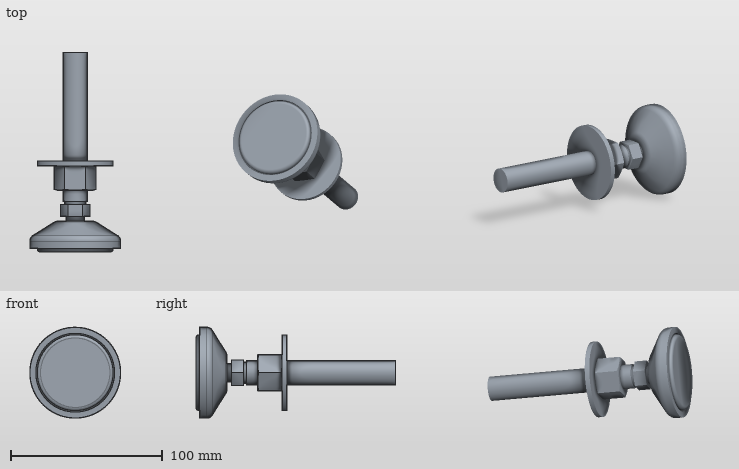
import cadquery as cq
import math

overall_length = 131.5

foot_diameter = 60.0
foot_top = 20.4
rim_bottom = 2.4
rim_top = 7.0
shoulder_radius = 4.6
top_edge_radius = 5.0
cone_tilt = math.radians(58)
sole_diameter = 50.0
sole_edge_radius = 2.1
groove_diameter = 52.0
groove_depth = 1.5

stem_diameter = 12.0
stem_seat_depth = 9.5
hexagon_start = 23.4
hexagon_length = 8.0
hexagon_flats = 17.0
neck_diameter = 14.0
rod_start = 33.4
rod_diameter = 16.0

nut_start = 40.6
nut_length = 16.2
nut_flats = 23.9
nut_face_diameter = 23.1
nut_chamfer_height = 0.7
washer_start = nut_start + nut_length
washer_thickness = 3.2
washer_diameter = 50.0


def cylinder(diameter, start, end):
    """Solid cylinder on the Y axis between two Y positions."""
    plane = cq.Workplane("XZ", origin=(0, start, 0))
    return plane.circle(diameter / 2).extrude(start - end)


def hexagon(flats, start, length):
    """Hexagonal prism on the Y axis with corners toward +X and -X."""
    corner_diameter = flats / math.cos(math.pi / 6)
    plane = cq.Workplane("XZ", origin=(0, start, 0))
    return plane.polygon(6, corner_diameter).extrude(-length)


def revolve_about_y(profile):
    """Turn a closed (radius, Y) profile about the Y axis."""
    return profile.close().revolve(360, (0, 0), (0, 1))


def make_foot():
    rim_radius = foot_diameter / 2
    sole_radius = sole_diameter / 2
    groove_radius = groove_diameter / 2
    groove_floor = rim_bottom + groove_depth

    def shoulder_point(angle):
        """Point on the shoulder arc where the surface tilts by this angle."""
        radius = rim_radius - shoulder_radius * (1 - math.cos(angle))
        return radius, rim_top + shoulder_radius * math.sin(angle)

    cone_radius, cone_bottom = shoulder_point(cone_tilt)
    top_radius = cone_radius - (foot_top - cone_bottom) * math.tan(cone_tilt)
    profile = (
        cq.Workplane("XY")
        .lineTo(sole_radius - sole_edge_radius, 0)
        .radiusArc((sole_radius, sole_edge_radius), -sole_edge_radius)
        .lineTo(sole_radius, groove_floor)
        .lineTo(groove_radius, groove_floor)
        .lineTo(groove_radius, rim_bottom)
        .lineTo(rim_radius, rim_bottom)
        .lineTo(rim_radius, rim_top)
        .threePointArc(shoulder_point(cone_tilt / 2), (cone_radius, cone_bottom))
        .lineTo(top_radius, foot_top)
        .lineTo(0, foot_top)
    )
    stem_seat = cylinder(stem_diameter, foot_top - stem_seat_depth, foot_top)
    foot = revolve_about_y(profile).faces(">Y").edges().fillet(top_edge_radius)
    return foot.cut(stem_seat)


def make_spindle():
    hexagon_end = hexagon_start + hexagon_length
    stem = cylinder(stem_diameter, foot_top - stem_seat_depth, hexagon_start)
    wrench_hexagon = hexagon(hexagon_flats, hexagon_start, hexagon_length)
    neck = cylinder(neck_diameter, hexagon_end, rod_start)
    rod = cylinder(rod_diameter, rod_start, overall_length)
    return stem.union(wrench_hexagon).union(neck).union(rod)


def make_nut():
    nut_end = nut_start + nut_length
    face_radius = nut_face_diameter / 2
    corner_radius = nut_flats / 2 / math.cos(math.pi / 6)
    envelope = revolve_about_y(
        cq.Workplane("XY")
        .moveTo(0, nut_start)
        .lineTo(face_radius, nut_start)
        .lineTo(corner_radius, nut_start + nut_chamfer_height)
        .lineTo(corner_radius, nut_end - nut_chamfer_height)
        .lineTo(face_radius, nut_end)
        .lineTo(0, nut_end)
    )
    bore = cylinder(rod_diameter, nut_start, nut_end)
    return hexagon(nut_flats, nut_start, nut_length).intersect(envelope).cut(bore)


def make_washer():
    washer_end = washer_start + washer_thickness
    disc = cylinder(washer_diameter, washer_start, washer_end)
    return disc.cut(cylinder(rod_diameter, washer_start, washer_end))


foot = make_foot()
spindle = make_spindle()
nut = make_nut()
washer = make_washer()

result = cq.Compound.makeCompound([foot.val(), spindle.val(), nut.val(), washer.val()])